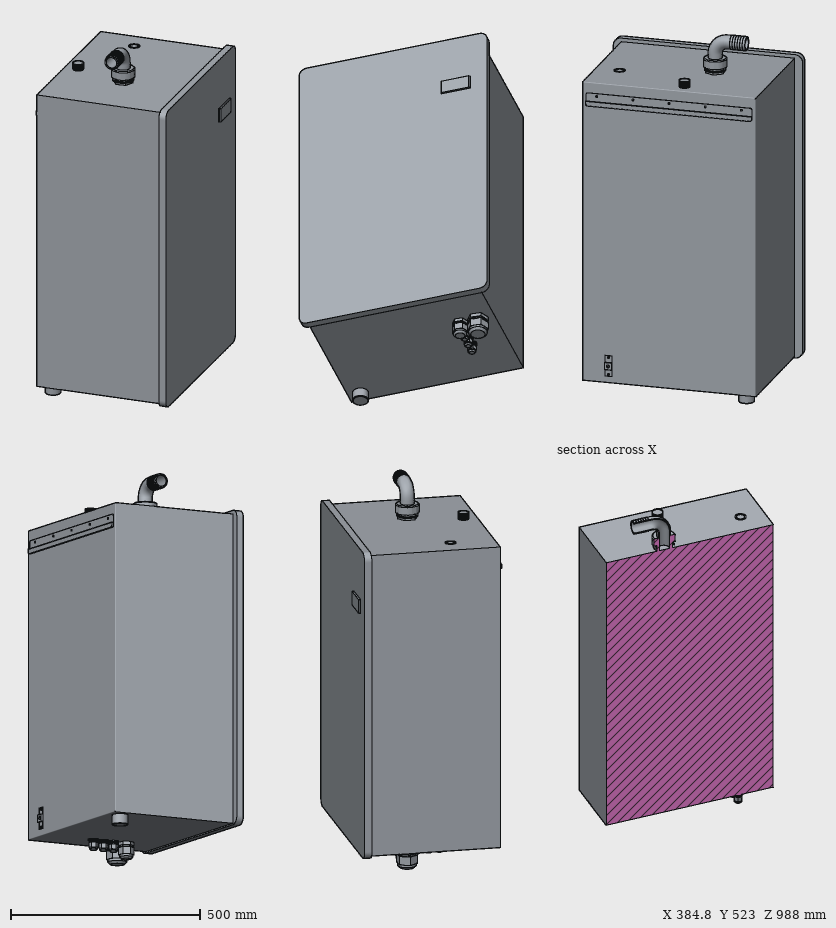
import cadquery as cq
import math

back_x = -187.0
door_x = 167.0
box_width = 478.0
top_z = 387.0
bottom_z = -443.0
box_edge_radius = 2.0

door_thickness = 20.0
door_width = 523.0
door_top_z = 397.0
door_bottom_z = -447.0
door_corner_radius = 22.0

handle_height = 5.4
handle_y = (134.0, 215.0)
handle_z = (222.0, 260.0)
handle_chamfer = 3.0

fitting_depth = 5.4
sheet = 1.0
screw_radius = 2.5
rail_length = 458.0
rail_z = (323.0, 359.0)
rail_step_z = 336.0
rail_corner_radius = 6.0
rail_screw_z = 351.0
rail_screw_pitch = 100.0
rail_screw_count = 5
clip_y = 167.0
clip_z = -395.0
clip_width = 20.0
clip_height = 57.0
clip_bridge_height = 20.0
clip_bridge_hole_radius = 4.0
clip_screw_offset = 24.0

hexagon_sides = 6

plug_x = -66.0
plug_y = 173.0
plug_radius = 15.0
plug_inner_radius = 11.0
plug_height = 1.0
knob_x = -147.0
knob_y = -31.0
knob_radius = 15.0
knob_height = 19.0
knob_groove_count = 5
knob_groove_depth = 1.0

elbow_x = -5.0
elbow_y = -72.0
elbow_axis_z = 474.0
elbow_bend_radius = 34.0
elbow_radius = 19.0
elbow_bore_radius = 15.0
elbow_end_y = -159.0
barb_radius = 20.0
barb_count = 6
barb_pitch = 7.0
elbow_flange_radius = 29.0
elbow_flange_z = 394.0
elbow_flange_thickness = 3.0
elbow_neck_radius = 27.0
elbow_neck_turn = 5
elbow_nut_radius = 34.0
elbow_nut_corner_radius = 32.0
elbow_nut_sides = 8
elbow_nut_chamfer = 3.0
elbow_nut_z = 404.0
elbow_nut_height = 24.0

stub_x = -153.0
stub_y = -204.0
stub_radius = 21.2
stub_length = 27.0
stub_chamfer = 2.0
small_gland_x = -42.0
small_gland_y = 143.0
small_gland_pitch = 30.1
small_gland_count = 3
small_gland_radius = 12.0
small_gland_length = 30.0
small_washer_radius = 14.0
small_washer_thickness = 3.0
gland_turn = 35
gland_collar_share = 0.2
gland_groove_share = 0.1
gland_nut_share = 0.45
gland_groove_ratio = 0.8
gland_cap_ratio = 0.88
side_gland_x = 56.0
medium_gland_y = 143.0
medium_gland_radius = 21.0
medium_gland_length = 44.0
large_gland_y = 193.0
large_gland_radius = 29.0
large_gland_length = 51.0


def block(x_range, y_range, z_range):
    """Box spanning the given (low, high) ranges."""
    lows = [r[0] for r in (x_range, y_range, z_range)]
    sizes = [r[1] - r[0] for r in (x_range, y_range, z_range)]
    return cq.Workplane("XY").box(*sizes, centered=False).translate(tuple(lows))


def centred(middle, size):
    """(low, high) range of the given size around its middle."""
    return (middle - size / 2, middle + size / 2)


def disc(x, y, z, radius, height):
    """Upright cylinder; a negative height goes downwards from z."""
    return cq.Workplane("XY", origin=(x, y, z)).circle(radius).extrude(height)


def prism(x, y, z, radius, height, sides, turn=0):
    """Upright regular prism with its first corner turned from +X by the given degrees."""
    angles = [math.radians(turn + 360 * i / sides) for i in range(sides)]
    corners = [(radius * math.cos(a), radius * math.sin(a)) for a in angles]
    return cq.Workplane("XY", origin=(x, y, z)).polyline(corners).close().extrude(height)


def back_wall_pin(y, z, radius):
    """Cylinder along X through the fittings on the back wall, ending at the wall."""
    start = (back_x - fitting_depth, y, z)
    return cq.Workplane("YZ", origin=start).circle(radius).extrude(fitting_depth)


def cabinet():
    """Box with rounded back edges, closed by a larger door with rounded corners."""
    box = block((back_x, door_x), centred(0, box_width), (bottom_z, top_z))
    box = box.faces("<X").edges().fillet(box_edge_radius)
    door = block(
        (door_x, door_x + door_thickness), centred(0, door_width), (door_bottom_z, door_top_z)
    )
    return box.union(door.edges("|X").fillet(door_corner_radius))


def handle():
    face_x = door_x + door_thickness
    plate = block((face_x, face_x + handle_height), handle_y, handle_z)
    return plate.faces(">X").edges("|Z").chamfer(handle_chamfer)


def rail():
    """Thin sheet with screw holes along the top and a raised lip along the bottom."""
    span = centred(0, rail_length)
    wall_sheet = block((back_x - sheet, back_x), span, rail_z)
    lip = block((back_x - fitting_depth, back_x), span, (rail_z[0], rail_step_z))
    wall_sheet = wall_sheet.edges("|X").fillet(rail_corner_radius)
    lip = lip.edges("|X and <Z").fillet(rail_corner_radius)
    body = wall_sheet.union(lip)
    for i in range(rail_screw_count):
        y = (i - (rail_screw_count - 1) / 2) * rail_screw_pitch
        body = body.cut(back_wall_pin(y, rail_screw_z, screw_radius))
    return body


def clip():
    """Screwed-on sheet with a raised bridge across its middle."""
    span = centred(clip_y, clip_width)
    body = block((back_x - sheet, back_x), span, centred(clip_z, clip_height))
    bridge_z = centred(clip_z, clip_bridge_height)
    body = body.union(block((back_x - fitting_depth, back_x), span, bridge_z))
    for offset in (-clip_screw_offset, clip_screw_offset):
        body = body.cut(back_wall_pin(clip_y, clip_z + offset, screw_radius))
    return body.cut(back_wall_pin(clip_y, clip_z, clip_bridge_hole_radius))


def plug():
    ring = disc(plug_x, plug_y, top_z, plug_radius, plug_height)
    return ring.cut(disc(plug_x, plug_y, top_z, plug_inner_radius, plug_height))


def knob():
    """Grooved cylinder: narrow and full-width rings alternate up its height."""
    ring_height = knob_height / (2 * knob_groove_count)
    body = disc(knob_x, knob_y, top_z, knob_radius - knob_groove_depth, knob_height)
    for i in range(knob_groove_count):
        z = top_z + (2 * i + 1) * ring_height
        body = body.union(disc(knob_x, knob_y, z, knob_radius, ring_height))
    return body


def bent_tube(radius):
    """Round bar rising from the top wall and bending over towards -Y, up to the barbs."""
    bend_z = elbow_axis_z - elbow_bend_radius
    bend_y = elbow_y - elbow_bend_radius
    reach = elbow_bend_radius * math.sqrt(0.5)
    path = (
        cq.Workplane("YZ", origin=(elbow_x, 0, 0))
        .moveTo(elbow_y, top_z)
        .lineTo(elbow_y, bend_z)
        .threePointArc((bend_y + reach, bend_z + reach), (bend_y, elbow_axis_z))
        .lineTo(elbow_end_y, elbow_axis_z)
    )
    return cq.Workplane("XY", origin=(elbow_x, elbow_y, top_z)).circle(radius).sweep(path)


def barb(end_y):
    """Cone ring that narrows towards the open end of the hose tail."""
    start = (elbow_x, end_y + barb_pitch, elbow_axis_z)
    return (
        cq.Workplane("XZ", origin=start)
        .circle(barb_radius)
        .workplane(offset=barb_pitch)
        .circle(elbow_radius)
        .loft()
    )


def elbow():
    """Bored hose elbow with a barbed tail, a flanged hexagon neck and an eight-sided nut."""
    body = bent_tube(elbow_radius)
    for i in range(barb_count):
        body = body.union(barb(elbow_end_y + i * barb_pitch))
    neck_height = elbow_nut_z - top_z
    at = (elbow_x, elbow_y)
    body = body.union(prism(*at, top_z, elbow_neck_radius, neck_height, hexagon_sides, elbow_neck_turn))
    body = body.union(disc(*at, elbow_flange_z, elbow_flange_radius, elbow_flange_thickness))
    nut = prism(*at, elbow_nut_z, elbow_nut_radius, elbow_nut_height, elbow_nut_sides)
    nut_blank = disc(*at, elbow_nut_z, elbow_nut_corner_radius, elbow_nut_height)
    nut = nut.intersect(nut_blank.faces(">Z").edges().chamfer(elbow_nut_chamfer))
    body = body.union(nut)
    return body.cut(bent_tube(elbow_bore_radius))


def stub():
    body = disc(stub_x, stub_y, bottom_z, stub_radius, -stub_length)
    return body.faces("<Z").edges().chamfer(stub_chamfer)


def gland(x, y, radius, length):
    """Cable gland hanging from the bottom wall: hexagon, groove, hexagon nut, chamfered cap."""
    collar = gland_collar_share * length
    groove = gland_groove_share * length
    nut = gland_nut_share * length
    cap = length - collar - groove - nut
    nut_z = bottom_z - collar - groove
    cap_radius = gland_cap_ratio * radius
    body = prism(x, y, bottom_z, radius, -collar, hexagon_sides, gland_turn)
    body = body.union(disc(x, y, bottom_z, gland_groove_ratio * radius, -(collar + groove)))
    body = body.union(prism(x, y, nut_z, radius, -nut, hexagon_sides, gland_turn))
    tip = disc(x, y, nut_z - nut, cap_radius, -cap)
    return body.union(tip.faces("<Z").edges().chamfer(cap / 2))


result = cabinet()
for fitting in (handle(), rail(), clip(), plug(), knob(), elbow(), stub()):
    result = result.union(fitting)
for i in range(small_gland_count):
    x = small_gland_x + i * small_gland_pitch
    washer = disc(x, small_gland_y, bottom_z, small_washer_radius, -small_washer_thickness)
    result = result.union(washer)
    result = result.union(gland(x, small_gland_y, small_gland_radius, small_gland_length))
result = result.union(gland(side_gland_x, medium_gland_y, medium_gland_radius, medium_gland_length))
result = result.union(gland(side_gland_x, large_gland_y, large_gland_radius, large_gland_length))